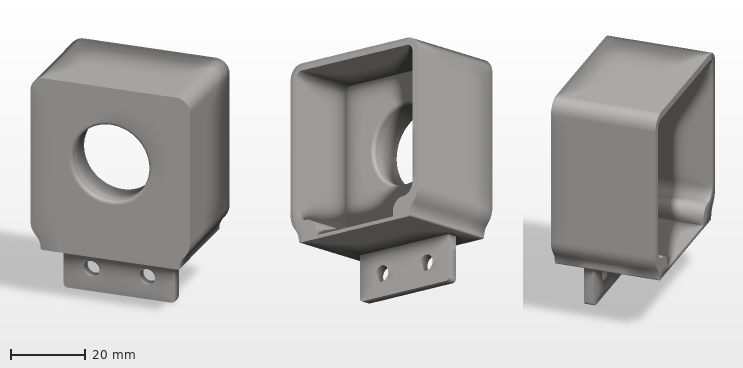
import cadquery as cq
import math

total_height = 63
width = 45.9
depth = 30.0

housing_height = 50.0
housing_base = total_height - housing_height
top_radius = 4.0

foot_inset = 2.95
shoulder_radius = 6.0
waist_radius = 5.0
foot_radius = 0.5

front_thickness = 10.0
wall = 2.0
floor_thickness = 1.0
ledge_height = 6.0
ledge_radius = 3.5

bore_diameter = 22.0
bore_height = 41.0
rim_radius = 1.0

tab_width = 32.0
tab_thickness = 2.95
tab_setback = 6.9
tab_corner_radius = 1.0
hole_diameter = 4.5
hole_spacing = 16.0
hole_height = 6.5


def make_housing():
    """Solid block with rounded top corners and a narrowed foot."""
    side = width / 2
    foot = side - foot_inset
    sweep = math.acos(1 - foot_inset / (shoulder_radius + waist_radius))
    waist_start = housing_base + foot_radius
    bend_x = foot + waist_radius * (1 - math.cos(sweep))
    bend_z = waist_start + waist_radius * math.sin(sweep)
    shoulder_end = bend_z + shoulder_radius * math.sin(sweep)
    outline = (
        cq.Workplane("XZ")
        .moveTo(0, housing_base)
        .lineTo(foot - foot_radius, housing_base)
        .radiusArc((foot, waist_start), -foot_radius)
        .radiusArc((bend_x, bend_z), waist_radius)
        .radiusArc((side, shoulder_end), -shoulder_radius)
        .lineTo(side, total_height - top_radius)
        .radiusArc((side - top_radius, total_height), -top_radius)
        .lineTo(0, total_height)
        .mirrorY()
    )
    return outline.extrude(-depth)


def make_cavity():
    """Rear hollow whose lower sides step inward over a rounded ledge."""
    side = width / 2 - wall
    crown = total_height - wall
    crown_radius = top_radius - wall
    ledge = housing_base + ledge_height
    ledge_x = side - ledge_radius
    channel = ledge_x - ledge_radius
    outline = (
        cq.Workplane("XZ", origin=(0, front_thickness, 0))
        .moveTo(0, housing_base + floor_thickness)
        .lineTo(channel, housing_base + floor_thickness)
        .lineTo(channel, ledge - ledge_radius)
        .radiusArc((ledge_x, ledge), ledge_radius)
        .radiusArc((side, ledge + ledge_radius), -ledge_radius)
        .lineTo(side, crown - crown_radius)
        .radiusArc((side - crown_radius, crown), -crown_radius)
        .lineTo(0, crown)
        .mirrorY()
    )
    return outline.extrude(front_thickness - depth)


def make_bore():
    """Revolved cutter: a cylinder that flares with a round at each face of the front wall."""
    radius = bore_diameter / 2
    flare = radius + rim_radius
    profile = (
        cq.Workplane("XY")
        .lineTo(flare, 0)
        .radiusArc((radius, rim_radius), rim_radius)
        .lineTo(radius, front_thickness - rim_radius)
        .radiusArc((flare, front_thickness), rim_radius)
        .lineTo(0, front_thickness)
        .close()
    )
    return profile.revolve(360, (0, 0, 0), (0, 1, 0)).translate((0, 0, bore_height))


def make_tab():
    """Flat plate with two holes and rounded lower corners."""
    tab = (
        cq.Workplane("XY", origin=(0, tab_setback, 0))
        .box(tab_width, tab_thickness, housing_base, centered=(True, False, False))
        .edges("|Y and <Z")
        .fillet(tab_corner_radius)
    )
    holes = (
        cq.Workplane("XZ", origin=(0, tab_setback, hole_height))
        .pushPoints([(-hole_spacing / 2, 0), (hole_spacing / 2, 0)])
        .circle(hole_diameter / 2)
        .extrude(-tab_thickness)
    )
    return tab.cut(holes)


result = make_housing().cut(make_cavity()).cut(make_bore()).union(make_tab())